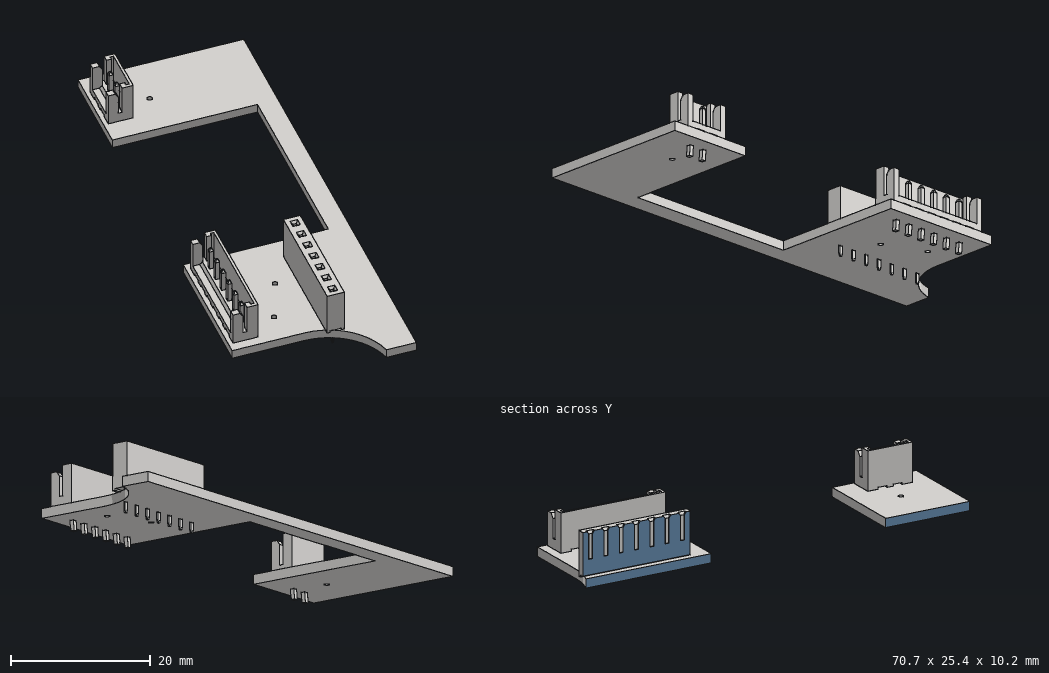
import cadquery as cq
import math


board_length = 70.7
board_depth = 25.4
board_thickness = 1.5
left_arm_width = 14.1
right_arm_start = 43.05
right_arm_end = 63.15
bridge_front = 22.2
corner_cut_radius = 10.0
corner_cut_start = 11.1
via_diameter = 0.8
via_centers = [(7.4, 8.2), (51.55, 10.9), (58.35, 8.2)]

total_height = 10.2
leg_drop = 1.55
standoff = 0.15
seat = board_thickness + standoff

two_pin_first_x = 5.7
six_pin_first_x = 46.8
header_pitch = 12.5 / 5
header_end_margin = 2.5
header_front = 0.65
header_depth = 3.8
header_back = header_front + header_depth
header_height = 6.15
side_wall = 1.0
rear_wall = 0.4
cavity_back = header_back - rear_wall
front_floor = 1.2
rear_floor = 1.55
floor_slope_front = 1.7
floor_slope_back = 2.1
front_post_height = 5.3
post_chamfer_width = 0.5
post_chamfer_height = 0.7
slot_front = 2.2
slot_back = 2.75
groove_front = 3.55
groove_depth = 0.5
relief_width = 1.5
relief_height = 0.3

pin_y = 2.8
leg_kink_y = 2.75
leg_end_y = 2.9
pin_width = 0.65
pin_height = 5.15
pin_tip_width = 0.2
pin_tip_height = 0.4

contact_count = 7
contact_pitch = 2.55
socket_first_x = 47.9
socket_end_margin = 1.35
socket_y = 15.35
socket_width = 2.6
socket_top = total_height - leg_drop
channel_width = 1.7
channel_height = 0.3
mouth_width = 1.1
contact_hole_width = 0.6
mouth_depth = 0.4
contact_hole_depth = 4.25
socket_leg_width = 0.6
socket_leg_thickness = 0.2
socket_leg_tip_width = 0.3
socket_leg_tip_height = 0.4


def box(x_range, y_range, z_range):
    """Block that fills the given (low, high) ranges."""
    sizes = [high - low for low, high in (x_range, y_range, z_range)]
    corner = (x_range[0], y_range[0], z_range[0])
    return cq.Workplane("XY").box(*sizes, centered=False).translate(corner)


def around(center, width):
    """Range of the given width about a center."""
    return (center - width / 2, center + width / 2)


def row(count, first_x, pitch):
    return [first_x + i * pitch for i in range(count)]


def prism_along_x(outline, x_range):
    """Outline of (Y, Z) points extruded over a range of X."""
    start, end = x_range
    return cq.Workplane("YZ").workplane(offset=start).polyline(outline).close().extrude(end - start)


def square_taper(x, y, base_z, base_width, end_z, end_width):
    """Square frustum between two heights."""
    base = cq.Workplane("XY").workplane(offset=base_z).center(x, y).rect(base_width, base_width)
    return base.workplane(offset=end_z - base_z).rect(end_width, end_width).loft()


def make_blank_board():
    """Board without the holes for the connector legs."""
    cut_center_x = right_arm_end + corner_cut_radius
    end_angle = math.acos((board_length - cut_center_x) / corner_cut_radius)
    mid_angle = (math.pi + end_angle) / 2

    def on_corner_cut(angle):
        return (
            cut_center_x + corner_cut_radius * math.cos(angle),
            corner_cut_start + corner_cut_radius * math.sin(angle),
        )

    outline = (
        cq.Workplane("XY")
        .lineTo(left_arm_width, 0)
        .lineTo(left_arm_width, bridge_front)
        .lineTo(right_arm_start, bridge_front)
        .lineTo(right_arm_start, 0)
        .lineTo(right_arm_end, 0)
        .lineTo(right_arm_end, corner_cut_start)
        .threePointArc(on_corner_cut(mid_angle), on_corner_cut(end_angle))
        .lineTo(board_length, board_depth)
        .lineTo(0, board_depth)
        .close()
    )
    vias = cq.Workplane("XY").pushPoints(via_centers).circle(via_diameter / 2).extrude(board_thickness)
    return outline.extrude(board_thickness).cut(vias)


def make_shroud(pins_x):
    """Header housing: high rear wall, lower front posts, open front and a slot in each side."""
    left = pins_x[0] - header_end_margin
    right = pins_x[-1] + header_end_margin
    top = seat + header_height
    post_top = seat + front_post_height
    floor_back = seat + rear_floor
    floor_front = seat + front_floor

    side_outline = [
        (header_front, seat),
        (header_back, seat),
        (header_back, top),
        (slot_back, top),
        (slot_back, floor_back),
        (slot_front, floor_back),
        (slot_front, post_top - post_chamfer_height),
        (slot_front - post_chamfer_width, post_top),
        (header_front, post_top),
    ]
    cavity_outline = [
        (header_front, floor_front),
        (floor_slope_front, floor_front),
        (floor_slope_back, floor_back),
        (cavity_back, floor_back),
        (cavity_back, top),
        (header_front, top),
    ]
    shroud = prism_along_x(side_outline, (left, right))
    shroud = shroud.cut(prism_along_x(cavity_outline, (left + side_wall, right - side_wall)))

    groove_inset = side_wall - groove_depth
    groove_x = (left + groove_inset, right - groove_inset)
    shroud = shroud.cut(box(groove_x, (groove_front, cavity_back), (floor_back, top)))

    for x in pins_x:
        relief_z = (seat, seat + relief_height)
        shroud = shroud.cut(box(around(x, relief_width), (header_front, header_back), relief_z))
    return shroud


def make_pin(x):
    tip_top = seat + pin_height
    tip_base = tip_top - pin_tip_height
    centerline = [(pin_y, tip_base), (pin_y, seat), (leg_kink_y, 0), (leg_end_y, -leg_drop)]
    front = [(y - pin_width / 2, z) for y, z in centerline]
    back = [(y + pin_width / 2, z) for y, z in reversed(centerline)]
    shaft = prism_along_x(front + back, around(x, pin_width))
    return shaft.union(square_taper(x, pin_y, tip_base, pin_width, tip_top, pin_tip_width))


def make_header(pin_count, first_x):
    pins_x = row(pin_count, first_x, header_pitch)
    header = make_shroud(pins_x)
    for x in pins_x:
        header = header.union(make_pin(x))
    return header


def make_contact_hole(x):
    """Square hole with a tapered mouth."""
    mouth = square_taper(x, socket_y, socket_top, mouth_width, socket_top - mouth_depth, contact_hole_width)
    hole_z = (socket_top - contact_hole_depth, socket_top)
    hole = box(around(x, contact_hole_width), around(socket_y, contact_hole_width), hole_z)
    return mouth.union(hole)


def make_socket_leg(x):
    """Flat leg with a narrowed tip."""
    left, right = around(x, socket_leg_width)
    tip_left, tip_right = around(x, socket_leg_tip_width)
    leg_top = seat + channel_height
    tip_base = socket_leg_tip_height - leg_drop
    outline = [
        (left, leg_top),
        (left, tip_base),
        (tip_left, -leg_drop),
        (tip_right, -leg_drop),
        (right, tip_base),
        (right, leg_top),
    ]
    flat = cq.Workplane("XZ", origin=(0, socket_y, 0)).polyline(outline).close()
    return flat.extrude(socket_leg_thickness / 2, both=True)


def make_socket():
    contacts_x = row(contact_count, socket_first_x, contact_pitch)
    length = (contacts_x[0] - socket_end_margin, contacts_x[-1] + socket_end_margin)
    socket = box(length, around(socket_y, socket_width), (seat, socket_top))

    socket = socket.cut(box(length, around(socket_y, channel_width), (seat, seat + channel_height)))

    for x in contacts_x:
        socket = socket.cut(make_contact_hole(x)).union(make_socket_leg(x))
    return socket


two_pin_header = make_header(2, two_pin_first_x)
six_pin_header = make_header(6, six_pin_first_x)
socket_strip = make_socket()

board = make_blank_board().cut(two_pin_header).cut(six_pin_header).cut(socket_strip)

result = cq.Compound.makeCompound(
    [board.val(), two_pin_header.val(), six_pin_header.val(), socket_strip.val()]
)